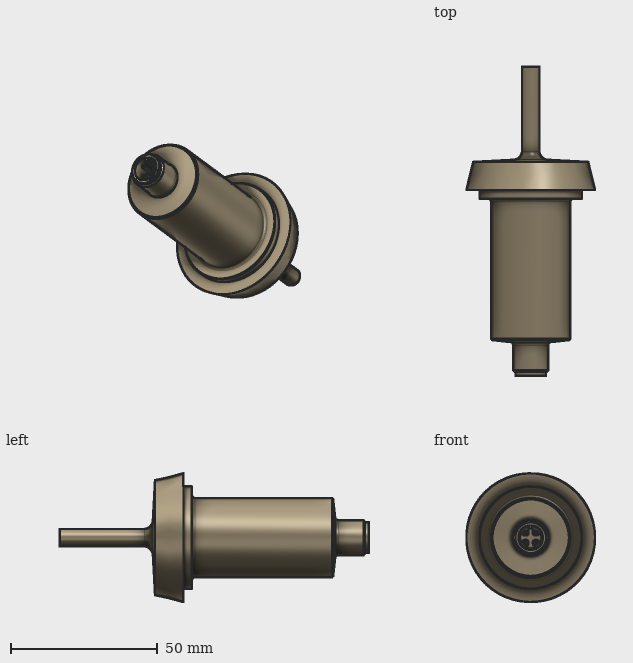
import cadquery as cq
import math


tip_radius = 10.5 / 2
sleeve_radius = 12.0 / 2
sleeve_start = 1.9
sleeve_chamfer_start = 1.3
flare_start = 10.3
flare_end = 11.4
flare_radius = 6.2

body_radius = 27.0 / 2
body_chamfer = 0.5
body_start = 12.6
end_face_edge = body_start - body_chamfer

flange_start = 60.2
flange_fillet = 0.9
flange_radius = 35.0 / 2
flange_chamfer = 0.2
collar_start = 63.1
collar_end = 72.8
collar_large_radius = 43.9 / 2
collar_small_radius = 19.6

overall_length = 105.2
rod_radius = 6.0 / 2
foot_start = 73.5
foot_radius = 2.8

socket_radius = 8.3 / 2
socket_depth = 8.9
insert_radius = 3.7
insert_height = 2.1
key_width = 1.0
key_inner_radius = 3.0
key_start = 0.5
pin_offset = 1.8
pin_diameter = 1.0
pin_tip = 1.6
notch_radius = 1.1


def cylinder(radius, start, end, x=0.0, z=0.0):
    """Solid cylinder along Y between two positions."""
    return cq.Workplane(cq.Solid.makeCylinder(
        radius, end - start, cq.Vector(x, start, z), cq.Vector(0, 1, 0)))


def quarter_arc_middle(center_r, center_y, radius, r_side, y_side):
    """Middle of a quarter arc lying on the given sides of its centre."""
    reach = radius * math.sqrt(0.5)
    return (center_r + r_side * reach, center_y + y_side * reach)


def turned_body():
    flange_arc = quarter_arc_middle(
        body_radius + flange_fillet, flange_start - flange_fillet, flange_fillet, -1, 1)
    foot_arc = quarter_arc_middle(
        rod_radius + foot_radius, foot_start + foot_radius, foot_radius, -1, -1)
    profile = (
        cq.Workplane("XY")
        .moveTo(0, 0)
        .lineTo(tip_radius, 0)
        .lineTo(tip_radius, sleeve_chamfer_start)
        .lineTo(sleeve_radius, sleeve_start)
        .lineTo(sleeve_radius, flare_start)
        .lineTo(flare_radius, flare_end)
        .lineTo(body_radius - body_chamfer, end_face_edge)
        .lineTo(body_radius, body_start)
        .lineTo(body_radius, flange_start - flange_fillet)
        .threePointArc(flange_arc, (body_radius + flange_fillet, flange_start))
        .lineTo(flange_radius - flange_chamfer, flange_start)
        .lineTo(flange_radius, flange_start + flange_chamfer)
        .lineTo(flange_radius, collar_start)
        .lineTo(collar_large_radius, collar_start)
        .lineTo(collar_small_radius, collar_end)
        .lineTo(rod_radius + foot_radius, foot_start)
        .threePointArc(foot_arc, (rod_radius, foot_start + foot_radius))
        .lineTo(rod_radius, overall_length)
        .lineTo(0, overall_length)
        .close()
    )
    return profile.revolve(360, (0, 0, 0), (0, 1, 0))


def notch_opening(x, z, angle):
    """Straight opening from a pin toward the insert rim, angled from +X toward +Z."""
    return (
        cq.Workplane("XY")
        .box(insert_radius, insert_height, 2 * notch_radius, centered=(False, False, True))
        .rotate((0, 0, 0), (0, 1, 0), -angle)
        .translate((x, socket_depth - insert_height, z))
    )


def contact_notch(x_side, z_side):
    """Round pocket about a pin, open toward the rim of the insert."""
    x = x_side * pin_offset
    z = z_side * pin_offset
    outward_angle = math.degrees(math.atan2(z_side, x_side))
    notch = cylinder(notch_radius, socket_depth - insert_height, socket_depth, x, z)
    notch = notch.union(notch_opening(x, z, outward_angle))
    if z_side > 0:
        notch = notch.union(notch_opening(x, z, 90))
    return notch


def contact_pin(x_side, z_side):
    return cylinder(
        pin_diameter / 2, pin_tip, socket_depth, x_side * pin_offset, z_side * pin_offset)


def key_rib():
    """Coding rib running along the top of the socket wall."""
    wall_overlap = 0.3
    height = socket_radius + wall_overlap - key_inner_radius
    return (
        cq.Workplane("XY")
        .box(key_width, socket_depth - key_start, height, centered=(True, False, False))
        .translate((0, key_start, key_inner_radius))
    )


contact_sides = [(x_side, z_side) for x_side in (-1, 1) for z_side in (-1, 1)]

insert = cylinder(insert_radius, socket_depth - insert_height, socket_depth)
for x_side, z_side in contact_sides:
    insert = insert.cut(contact_notch(x_side, z_side))

result = turned_body().cut(cylinder(socket_radius, 0, socket_depth))
result = result.union(insert).union(key_rib())
for x_side, z_side in contact_sides:
    result = result.union(contact_pin(x_side, z_side))